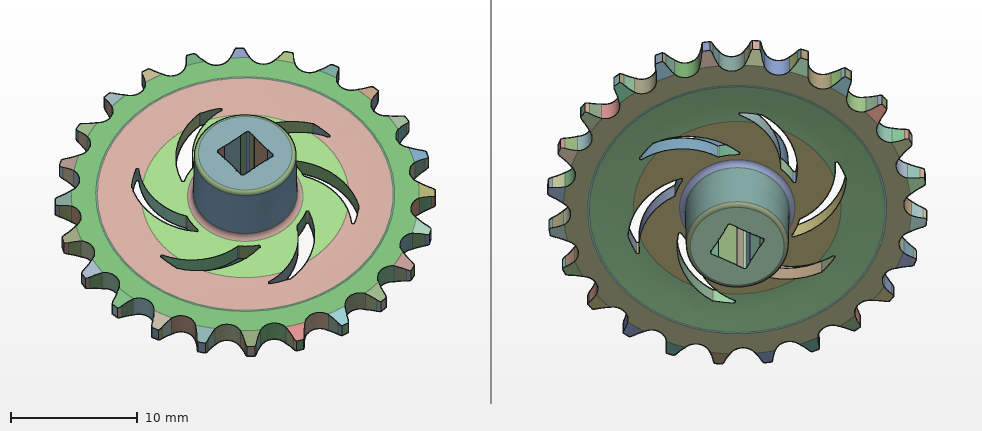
import cadquery as cq
import math

tooth_count = 24
tooth_pitch_angle = 360 / tooth_count
first_tooth_angle = 2.5
tip_radius = 15.0
tip_half_width = 0.3
topping_mid = (14.85, 0.4)
flank_top = (14.68, 0.45)
flank_mid = (14.17, 0.6)
flank_foot = (13.75, 0.78)
seat_bottom_radius = 13.15
rim_thickness = 2.07
rim_half_thickness = rim_thickness / 2
tooth_chamfer_start = 13.72
tooth_chamfer_angle = 17.5
disc_margin = 0.3

web_half_thickness = 0.78
dish_floor_radius = 8.2
dish_rim_radius = 11.75
dish_lip_fillet = 0.9

hub_half_height = 6.25
hub_root_radius = 4.1
hub_draft_angle = 1
hub_root_fillet = 0.45
hub_end_fillet = 0.33

bore_side = 3.15
bore_angle = 10
corner_relief_depth = 0.03
corner_relief_width = 0.78
bore_corner_fillet = 0.18

slot_count = 6
slot_inner_limit = 5.05
slot_outer_limit = 9.05
slot_outer_arc_radius = 6.1
slot_outer_arc_center = (3.1, -2.43)
slot_inner_arc_radius = 5.52
slot_inner_arc_center = (2.95, -3.18)
slot_corner_fillet = 0.12
slot_pitch_angle = 360 / slot_count

radius_tolerance = 0.003


def polar(radius, angle):
    """Point at a radius and an angle in degrees."""
    return (radius * math.cos(math.radians(angle)), radius * math.sin(math.radians(angle)))


def turned(point, angle):
    """Point turned about the axis by an angle in degrees."""
    x, y = point
    return polar(math.hypot(x, y), math.degrees(math.atan2(y, x)) + angle)


def mirrored(point):
    """Same point on the opposite flank of the tooth."""
    return (point[0], -point[1])


def toothed_plate():
    """Plate with the full tooth outline: round seats, hollow flanks and rounded topping."""
    tip_corner = (math.sqrt(tip_radius ** 2 - tip_half_width ** 2), tip_half_width)
    tooth_angles = [first_tooth_angle + index * tooth_pitch_angle for index in range(tooth_count)]

    outline = cq.Workplane("XY", origin=(0, 0, -rim_half_thickness))
    outline = outline.moveTo(*turned(mirrored(flank_foot), first_tooth_angle))
    for angle in tooth_angles:
        tooth_arcs = [
            (mirrored(flank_mid), mirrored(flank_top)),
            (mirrored(topping_mid), mirrored(tip_corner)),
            ((tip_radius, 0), tip_corner),
            (topping_mid, flank_top),
            (flank_mid, flank_foot),
        ]
        for middle, end in tooth_arcs:
            outline = outline.threePointArc(turned(middle, angle), turned(end, angle))
        outline = outline.threePointArc(
            polar(seat_bottom_radius, angle + tooth_pitch_angle / 2),
            turned(mirrored(flank_foot), angle + tooth_pitch_angle),
        )
    return outline.close().extrude(rim_thickness)


def dished_disc():
    """Round disc with a concave bowl in both faces and its outer edges bevelled for the teeth."""
    bowl_width = dish_rim_radius - dish_floor_radius
    bowl_depth = rim_half_thickness - web_half_thickness
    bowl_radius = (bowl_width ** 2 + bowl_depth ** 2) / (2 * bowl_depth)
    middle_run = bowl_width / 2
    middle_rise = bowl_radius - math.sqrt(bowl_radius ** 2 - middle_run ** 2)

    disc_radius = tip_radius + disc_margin
    bevel_drop = (disc_radius - tooth_chamfer_start) * math.tan(math.radians(tooth_chamfer_angle))

    upper_half = (
        cq.Workplane("XZ")
        .lineTo(disc_radius, 0)
        .lineTo(disc_radius, rim_half_thickness - bevel_drop)
        .lineTo(tooth_chamfer_start, rim_half_thickness)
        .lineTo(dish_rim_radius, rim_half_thickness)
        .threePointArc(
            (dish_floor_radius + middle_run, web_half_thickness + middle_rise),
            (dish_floor_radius, web_half_thickness),
        )
        .lineTo(0, web_half_thickness)
        .close()
        .revolve(360, (0, 0, 0), (0, 1, 0))
    )
    upper_half = circular_edge(upper_half, dish_rim_radius).fillet(dish_lip_fillet)
    return upper_half.union(upper_half.mirror("XY"))


def circular_edge(body, radius):
    """Full-circle edges of a given radius."""
    return body.edges("%CIRCLE").filter(lambda edge: abs(edge.radius() - radius) < radius_tolerance)


def add_hub(body):
    """Drafted hub on both sides, rounded into the web and at its ends."""
    hub_length = hub_half_height - web_half_thickness
    for side in (1, -1):
        boss = (
            cq.Workplane("XY", origin=(0, 0, side * web_half_thickness))
            .circle(hub_root_radius)
            .extrude(side * hub_length, taper=hub_draft_angle)
        )
        body = body.union(boss)
    end_radius = hub_root_radius - hub_length * math.tan(math.radians(hub_draft_angle))
    body = circular_edge(body, hub_root_radius).fillet(hub_root_fillet)
    return circular_edge(body, end_radius).fillet(hub_end_fillet)


def square_bore():
    """Square through bore with relieved, rounded corners, turned about the axis."""
    relieved_side = bore_side + 2 * corner_relief_depth
    relief_spacing = relieved_side - corner_relief_width
    core = cq.Workplane("XY").rect(bore_side, bore_side).extrude(hub_half_height, both=True)
    corner_reliefs = (
        cq.Workplane("XY")
        .rarray(relief_spacing, relief_spacing, 2, 2)
        .rect(corner_relief_width, corner_relief_width)
        .extrude(hub_half_height, both=True)
    )
    bore = core.union(corner_reliefs)
    corners = bore.edges("|Z").filter(
        lambda edge: min(abs(edge.Center().x), abs(edge.Center().y)) > relief_spacing / 2
    )
    return corners.fillet(bore_corner_fillet).rotate((0, 0, 0), (0, 0, 1), bore_angle)


def cylinder(radius, center=(0, 0)):
    """Upright cylinder spanning the web thickness."""
    return cq.Workplane("XY").center(*center).circle(radius).extrude(rim_half_thickness, both=True)


def curved_slot():
    """One crescent-shaped slot with rounded corners."""
    slot = (
        cylinder(slot_outer_limit)
        .cut(cylinder(slot_inner_limit))
        .intersect(cylinder(slot_outer_arc_radius, slot_outer_arc_center))
        .cut(cylinder(slot_inner_arc_radius, slot_inner_arc_center))
    )
    return slot.solids(">X").edges("|Z").fillet(slot_corner_fillet)


result = toothed_plate().intersect(dished_disc())
result = add_hub(result)
result = result.cut(square_bore())
slot = curved_slot()
for index in range(slot_count):
    result = result.cut(slot.rotate((0, 0, 0), (0, 0, 1), index * slot_pitch_angle))